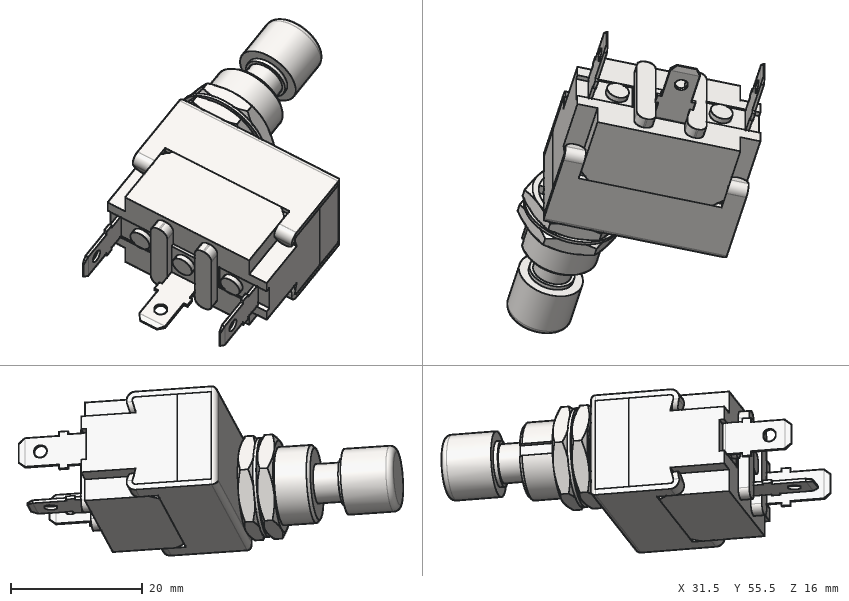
import cadquery as cq
import math


housing_width = 28.8
housing_height = 16.0
sheet = 0.9
edge_round = 0.9
leg_length = 9.75
case_end = 6.15
base_end = 21.1
window_width = 22.5
window_chamfer = 1.45
step_height = 4.55

bend_start = 12.65
bend_inner_radius = 0.5
hook_tilt = 15.0
hook_tip = 4.85

axis_x = -9.0
bushing_radius = 6.0
bushing_length = 11.0
bushing_chamfer = 0.5
keyway_width = 1.9
keyway_depth = 1.0

nut_flats = 14.0
nut_height = 2.5
nut_chamfer_angle = 30.0
washer_diameter = 15.2
washer_thickness = 0.5

plunger_diameter = 6.05
collar_diameter = 7.1
collar_length = 0.65
cap_diameter = 10.1
cap_length = 8.0
cap_round = 1.0
button_end = 23.6

rib_width = 3.0
rib_length = 14.0
rib_round = 1.4
rib_height = 1.7
rib_offset = 4.0

foot_width = 5.0
foot_length = 6.9
terminal_thickness = 0.5
recess_depth = 0.8
blade_outer_x = 12.6
blade_outer_z = 4.4
blade_length = 10.8
blade_width = 4.65
tab_width = 6.0
tab_start = 3.15
tab_end = 4.55
eye_diameter = 2.0
eye_distance = 7.45
tip_bevel_length = 1.0
tip_width = 3.05
tip_thickness = 0.2
rivet_diameter = 3.45
rivet_distance = 4.45
rivet_height = 1.4

half_width = housing_width / 2
half_height = housing_height / 2
inner_half_height = half_height - sheet
strap_width = (housing_width - window_width) / 2
bend_outer_radius = bend_inner_radius + sheet


def block(x_min, x_max, y_min, y_max, z_min, z_max):
    size = (x_max - x_min, y_max - y_min, z_max - z_min)
    return cq.Workplane("XY").box(*size, centered=False).translate((x_min, y_min, z_min))


def disc(x, y, z, diameter, length):
    """Cylinder along +Y that starts at (x, y, z)."""
    return cq.Workplane("XZ", origin=(x, y, z)).circle(diameter / 2).extrude(-length)


def both_z(shape):
    return shape.union(shape.mirror("XY"))


tilt = math.radians(hook_tilt)
bend_end_angle = math.pi / 2 + tilt
bend_center_z = half_height - bend_outer_radius


def bend_point(radius, angle):
    """Point (y, z) on the bend; the angle is measured from the leg plane."""
    return (-bend_start - radius * math.sin(angle), bend_center_z + radius * math.cos(angle))


def hook_line_at(radius, z):
    """Point (y, z) on the straight hook face that is tangent to the bend radius."""
    y, bend_z = bend_point(radius, bend_end_angle)
    return (y + (bend_z - z) * math.tan(tilt), z)


def hook_strap():
    profile = (
        cq.Workplane("YZ", origin=(-half_width, 0, 0))
        .moveTo(-leg_length, half_height)
        .lineTo(-bend_start, half_height)
        .threePointArc(
            bend_point(bend_outer_radius, math.pi / 4), bend_point(bend_outer_radius, bend_end_angle)
        )
        .lineTo(*hook_line_at(bend_outer_radius, hook_tip))
        .lineTo(*hook_line_at(bend_inner_radius, hook_tip))
        .lineTo(*bend_point(bend_inner_radius, bend_end_angle))
        .threePointArc(bend_point(bend_inner_radius, math.pi / 4), bend_point(bend_inner_radius, 0))
        .lineTo(-leg_length, inner_half_height)
        .close()
        .extrude(strap_width)
    )
    tip_radius = strap_width / 2
    strap_edge = strap_width - half_width
    outline = (
        cq.Workplane("XZ")
        .moveTo(-half_width, half_height)
        .lineTo(-half_width, hook_tip + tip_radius)
        .threePointArc((-half_width + tip_radius, hook_tip), (strap_edge, hook_tip + tip_radius))
        .lineTo(strap_edge, half_height)
        .close()
        .extrude(base_end)
    )
    return profile.intersect(outline)


def make_frame():
    shell = block(-half_width, half_width, -leg_length, 0, -half_height, half_height)
    shell = shell.faces(">Y").edges().fillet(edge_round)
    shell = shell.cut(
        block(-half_width, half_width, -leg_length, -sheet, -inner_half_height, inner_half_height)
    )
    left_hooks = both_z(hook_strap())
    return shell.union(left_hooks).union(left_hooks.mirror("YZ"))


def make_insert():
    return block(-half_width, half_width, -case_end, -sheet, -inner_half_height, inner_half_height)


def hook_notch():
    """Material removed from the base behind one hook."""
    return (
        cq.Workplane("YZ", origin=(-half_width, 0, 0))
        .moveTo(-base_end, step_height)
        .lineTo(*hook_line_at(bend_inner_radius, step_height))
        .lineTo(*bend_point(bend_inner_radius, bend_end_angle))
        .threePointArc(bend_point(bend_inner_radius, math.pi / 4), bend_point(bend_inner_radius, 0))
        .lineTo(-bend_start, half_height)
        .lineTo(-base_end, half_height)
        .close()
        .extrude(strap_width)
    )


def window_pad():
    pad = block(-window_width / 2, window_width / 2, -base_end, -leg_length, inner_half_height, half_height)
    return pad.edges("|Z and >Y").chamfer(window_chamfer)


def rib(x):
    bar = cq.Workplane("XZ", origin=(x, -base_end, 0)).rect(rib_width, rib_length).extrude(rib_height)
    return bar.edges("|Y").fillet(rib_round)


def terminal():
    """Bent blade pointing to -Y, with its foot running to +X from the Y axis and the rivet head on it."""
    t = terminal_thickness
    bevel_start = blade_length - tip_bevel_length
    bent_sheet = (
        cq.Workplane("XY")
        .moveTo(t, 0)
        .lineTo(foot_length, 0)
        .lineTo(foot_length, -t)
        .lineTo(t, -t)
        .lineTo(t, -bevel_start)
        .lineTo((t + tip_thickness) / 2, -blade_length)
        .lineTo((t - tip_thickness) / 2, -blade_length)
        .lineTo(0, -bevel_start)
        .lineTo(0, -t)
        .radiusArc((t, 0), t)
        .close()
        .extrude(tab_width / 2, both=True)
    )
    half_outline = [
        (0, foot_width / 2),
        (-tab_start, foot_width / 2),
        (-tab_start, tab_width / 2),
        (-tab_end, tab_width / 2),
        (-tab_end, blade_width / 2),
        (-bevel_start, blade_width / 2),
        (-blade_length, tip_width / 2),
    ]
    mirrored_half = [(y, -z) for y, z in reversed(half_outline)]
    outline = cq.Workplane("YZ").polyline(half_outline + mirrored_half).close().extrude(foot_length)
    eye = cq.Workplane("YZ").center(-eye_distance, 0).circle(eye_diameter / 2).extrude(t)
    rivet = cq.Workplane("XZ").center(rivet_distance, 0).circle(rivet_diameter / 2).extrude(rivet_height)
    return bent_sheet.intersect(outline).cut(eye).union(rivet)


def make_base():
    body = block(-half_width, half_width, -base_end, -case_end, -inner_half_height, inner_half_height)
    body = body.union(both_z(window_pad()))

    left_notches = both_z(hook_notch())
    body = body.cut(left_notches).cut(left_notches.mirror("YZ"))

    floor_y = recess_depth - base_end
    left_recess = block(
        -half_width, foot_length - blade_outer_x, -base_end, floor_y, -foot_width / 2, foot_width / 2
    )
    body = body.cut(left_recess).cut(left_recess.mirror("YZ"))

    for x in (-rib_offset, rib_offset):
        body = body.union(rib(x))

    left_terminal = terminal().translate((-blade_outer_x, floor_y, 0))
    middle_terminal = (
        terminal().rotate((0, 0, 0), (0, 1, 0), -90).translate((0, -base_end, -blade_outer_z))
    )
    return body.union(left_terminal).union(left_terminal.mirror("YZ")).union(middle_terminal)


def make_bushing():
    bushing = disc(axis_x, 0, 0, 2 * bushing_radius, bushing_length).faces(">Y").chamfer(bushing_chamfer)
    bore = disc(axis_x, 0, 0, plunger_diameter, bushing_length)
    wall = axis_x - bushing_radius
    keyway = block(wall, wall + keyway_depth, 0, bushing_length, -keyway_width / 2, keyway_width / 2)
    return bushing.cut(bore).cut(keyway)


def make_nut(y):
    corner_radius = nut_flats / math.sqrt(3)
    chamfer_height = (corner_radius - nut_flats / 2) * math.tan(math.radians(nut_chamfer_angle))
    hexagon = cq.Workplane("XZ").polygon(6, 2 * corner_radius).extrude(-nut_height)
    envelope = (
        cq.Workplane("XY")
        .polyline(
            [
                (0, 0),
                (nut_flats / 2, 0),
                (corner_radius, chamfer_height),
                (corner_radius, nut_height - chamfer_height),
                (nut_flats / 2, nut_height),
                (0, nut_height),
            ]
        )
        .close()
        .revolve(360, (0, 0, 0), (0, 1, 0))
    )
    bore = disc(0, 0, 0, 2 * bushing_radius, nut_height)
    return hexagon.intersect(envelope).cut(bore).translate((axis_x, y, 0))


def make_washer():
    washer = disc(axis_x, nut_height, 0, washer_diameter, washer_thickness)
    return washer.cut(disc(axis_x, nut_height, 0, 2 * bushing_radius, washer_thickness))


def make_button():
    cap_start = button_end - cap_length
    cap = disc(axis_x, cap_start, 0, cap_diameter, cap_length).faces(">Y").edges().fillet(cap_round)
    collar = disc(axis_x, cap_start - collar_length, 0, collar_diameter, collar_length)
    plunger = disc(axis_x, 0, 0, plunger_diameter, cap_start)
    return plunger.union(collar).union(cap)


frame = make_frame()
insert = make_insert()
base = make_base()
bushing = make_bushing()
nuts = [make_nut(y) for y in (0, nut_height + washer_thickness)]
washer = make_washer()
button = make_button()

result = cq.Compound.makeCompound(
    [
        frame.val(),
        insert.val(),
        base.val(),
        bushing.val(),
        *[nut.val() for nut in nuts],
        washer.val(),
        button.val(),
    ]
)